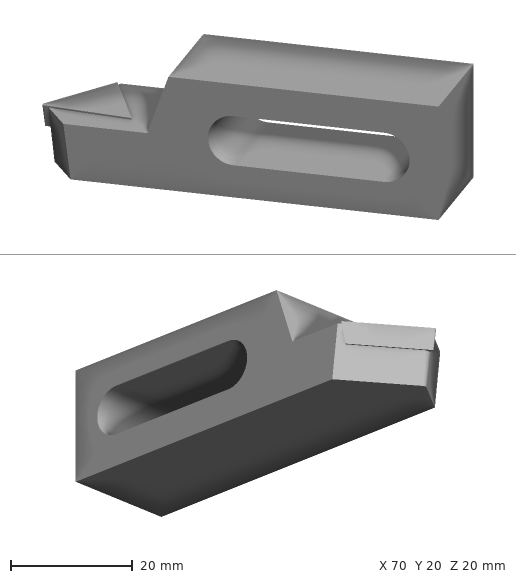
import cadquery as cq
import math

LENGTH = 70.0
SECTION = 20.0

LEDGE_Z = 9.65
STEP_FOOT_X = 20.0
STEP_TOP_X = 23.65
SLOT_START_X = 30.45
SLOT_END_X = 65.0
SLOT_WIDTH = 8.7

FLANK_ANGLE = math.radians(55)
NOSE_CLEARANCE_SLOPE = math.tan(math.radians(6))
NOSE_CENTER_X = 2.7
NOSE_CENTER_Y = 7.2
NOSE_LEDGE_RADIUS = 1.75

INSERT_SIDE = 16.3
INSERT_TIP_RADIUS = 0.5
INSERT_CLEARANCE_SLOPE = math.tan(math.radians(7))
INSERT_THICKNESS = 3.8
INSERT_TOP_Z = 9.95
INSERT_TILT = math.radians(-5)
INSERT_TIP_Y = 6.85


def nose_outline(z):
    """Plan outline of the holder at height z, with a round tangent to both flanks."""
    radius = NOSE_LEDGE_RADIUS + (z - LEDGE_Z) * NOSE_CLEARANCE_SLOPE
    sine = math.sin(FLANK_ANGLE)
    cosine = math.cos(FLANK_ANGLE)
    tangent_x = NOSE_CENTER_X - radius * sine
    lower_y = NOSE_CENTER_Y - radius * cosine
    upper_y = NOSE_CENTER_Y + radius * cosine
    lower_end_x = tangent_x + lower_y / math.tan(FLANK_ANGLE)
    upper_end_x = tangent_x + (SECTION - upper_y) / math.tan(FLANK_ANGLE)
    return (
        cq.Workplane("XY", origin=(0, 0, z))
        .moveTo(LENGTH, 0)
        .lineTo(lower_end_x, 0)
        .lineTo(tangent_x, lower_y)
        .threePointArc((NOSE_CENTER_X - radius, NOSE_CENTER_Y), (tangent_x, upper_y))
        .lineTo(upper_end_x, SECTION)
        .lineTo(LENGTH, SECTION)
        .close()
        .val()
    )


def polar_point(start, distance, angle):
    return (start[0] + distance * math.cos(angle), start[1] + distance * math.sin(angle))


def insert_outline(z):
    """Equilateral triangle at height z, its cutting tip rounded about a fixed center."""
    inset = (INSERT_TOP_Z - z) * INSERT_CLEARANCE_SLOPE
    radius = INSERT_TIP_RADIUS - inset
    side = INSERT_SIDE - 2 * math.sqrt(3) * inset
    lower_edge = INSERT_TILT
    upper_edge = INSERT_TILT + math.radians(60)
    bisector = INSERT_TILT + math.radians(30)
    tip_center = (INSERT_TIP_RADIUS, INSERT_TIP_Y)
    apex = polar_point(tip_center, -2 * radius, bisector)
    tangent_length = math.sqrt(3) * radius
    return (
        cq.Workplane("XY", origin=(0, 0, z))
        .moveTo(*polar_point(apex, side, lower_edge))
        .lineTo(*polar_point(apex, side, upper_edge))
        .lineTo(*polar_point(apex, tangent_length, upper_edge))
        .threePointArc(
            polar_point(tip_center, -radius, bisector),
            polar_point(apex, tangent_length, lower_edge),
        )
        .close()
        .val()
    )


def make_insert():
    outlines = [insert_outline(INSERT_TOP_Z - INSERT_THICKNESS), insert_outline(INSERT_TOP_Z)]
    return cq.Workplane(cq.Solid.makeLoft(outlines, True))


def make_holder(seated_insert):
    side_profile = [
        (0, 0),
        (LENGTH, 0),
        (LENGTH, SECTION),
        (STEP_TOP_X, SECTION),
        (STEP_FOOT_X, LEDGE_Z),
        (0, LEDGE_Z),
    ]
    stepped_bar = cq.Workplane("XZ").polyline(side_profile).close().extrude(-SECTION)
    nose_envelope = cq.Workplane(cq.Solid.makeLoft([nose_outline(0), nose_outline(SECTION)], True))
    slot = (
        cq.Workplane("XZ")
        .center((SLOT_START_X + SLOT_END_X) / 2, SECTION / 2)
        .slot2D(SLOT_END_X - SLOT_START_X, SLOT_WIDTH)
        .extrude(-SECTION)
    )
    return stepped_bar.intersect(nose_envelope).cut(slot).cut(seated_insert)


insert = make_insert()
holder = make_holder(insert)
result = cq.Compound.makeCompound([holder.solids().val(), insert.val()])